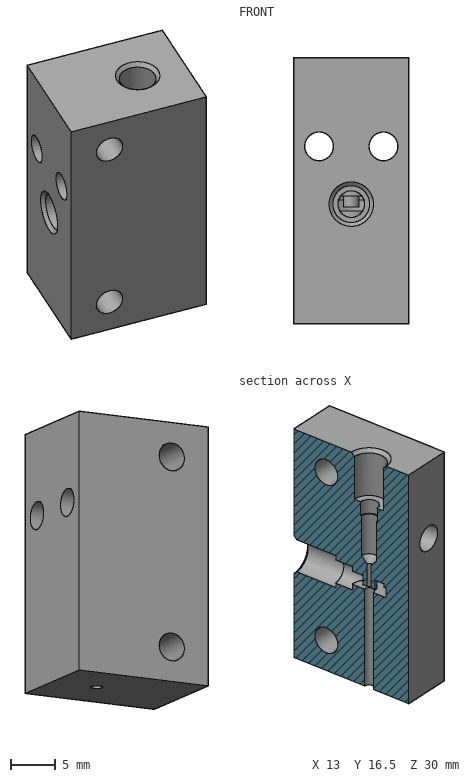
import cadquery as cq

width = 13.0
depth = 16.5
height = 30.0

mount_diameter = 3.2
front_mount_spacing = 7.25
front_mount_z = 20.0
side_mount_y = 4.68
side_mount_edge = 4.0

port_diameter = 4.15
port_mouth_diameter = 5.0
top_port_depth = 6.0
side_port_depth = 6.0
axis_y = 10.8
side_port_z = 13.5
side_passage_diameter = 3.0

body_diameter = 4.8
chamber_floor_z = 12.75
chamber_step_z = 13.98
chamber_roof_z = 14.4
upper_chamber_diameter = 4.2
tip_diameter = 1.8
tip_end_z = 13.17

inlet_diameter = 2.35
inlet_throat_diameter = 2.1
inlet_step_depth = 1.8
jet_diameter = 0.5
jet_length = 3.0
funnel_height = (inlet_throat_diameter - jet_diameter) / 2
outlet_diameter = 1.3


def vertical_cylinder(diameter, bottom, top):
    """Cylinder on the nozzle axis between two heights."""
    return cq.Workplane("XY", origin=(0, axis_y, bottom)).circle(diameter / 2).extrude(top - bottom)


def port(plane, bore_depth):
    """Port cutter entering from a plane whose normal points out of the block."""
    chamfer = (port_mouth_diameter - port_diameter) / 2
    bore = cq.Workplane(plane).circle(port_diameter / 2).extrude(-bore_depth)
    mouth = (
        cq.Workplane(plane)
        .circle(port_mouth_diameter / 2)
        .workplane(offset=-chamfer)
        .circle(port_diameter / 2)
        .loft()
    )
    return bore.union(mouth)


def front_mounting_holes():
    """Pair of through holes along Y."""
    return (
        cq.Workplane("XZ")
        .pushPoints([(side * front_mount_spacing / 2, front_mount_z) for side in (-1, 1)])
        .circle(mount_diameter / 2)
        .extrude(-depth)
    )


def side_mounting_holes():
    """Pair of through holes along X, equally far from the base and the top."""
    return (
        cq.Workplane("YZ")
        .pushPoints([(side_mount_y, z) for z in (side_mount_edge, height - side_mount_edge)])
        .circle(mount_diameter / 2)
        .extrude(width / 2, both=True)
    )


def suction_passage():
    """Front passage ending on the round nozzle body, opening into the chamber round the tip."""
    passage = (
        cq.Workplane("XZ", origin=(0, 0, side_port_z))
        .circle(side_passage_diameter / 2)
        .extrude(-axis_y)
    )
    passage = passage.cut(vertical_cylinder(body_diameter, 0, height))
    lower_chamber = vertical_cylinder(body_diameter, chamber_floor_z, chamber_step_z)
    upper_chamber = vertical_cylinder(upper_chamber_diameter, chamber_step_z, chamber_roof_z)
    neck = (
        cq.Workplane("XZ", origin=(0, 0, side_port_z))
        .circle(side_passage_diameter / 2)
        .extrude(-axis_y)
        .intersect(vertical_cylinder(body_diameter, chamber_step_z, chamber_roof_z))
    )
    tip = vertical_cylinder(tip_diameter, tip_end_z, chamber_roof_z)
    return passage.union(lower_chamber).union(upper_chamber).union(neck).cut(tip)


def nozzle_bore():
    """Stepped bore from the top port floor, with a 45 degree funnel into the jet at the end of the tip."""
    inlet_z = height - top_port_depth
    funnel_end_z = tip_end_z + jet_length
    profile = [
        (0, inlet_z),
        (inlet_diameter / 2, inlet_z),
        (inlet_diameter / 2, inlet_z - inlet_step_depth),
        (inlet_throat_diameter / 2, inlet_z - inlet_step_depth),
        (inlet_throat_diameter / 2, funnel_end_z + funnel_height),
        (jet_diameter / 2, funnel_end_z),
        (jet_diameter / 2, tip_end_z),
        (0, tip_end_z),
    ]
    bore = cq.Workplane("XZ").polyline(profile).close().revolve(360, (0, 0, 0), (0, 1, 0))
    return bore.translate((0, axis_y, 0))


block = cq.Workplane("XY").box(width, depth, height, centered=(True, False, False))
top_plane = cq.Plane(origin=(0, axis_y, height), xDir=(1, 0, 0), normal=(0, 0, 1))
front_plane = cq.Plane(origin=(0, 0, side_port_z), xDir=(1, 0, 0), normal=(0, -1, 0))

result = (
    block.cut(front_mounting_holes())
    .cut(side_mounting_holes())
    .cut(port(top_plane, top_port_depth))
    .cut(port(front_plane, side_port_depth))
    .cut(suction_passage())
    .cut(nozzle_bore())
    .cut(vertical_cylinder(outlet_diameter, 0, chamber_floor_z))
)